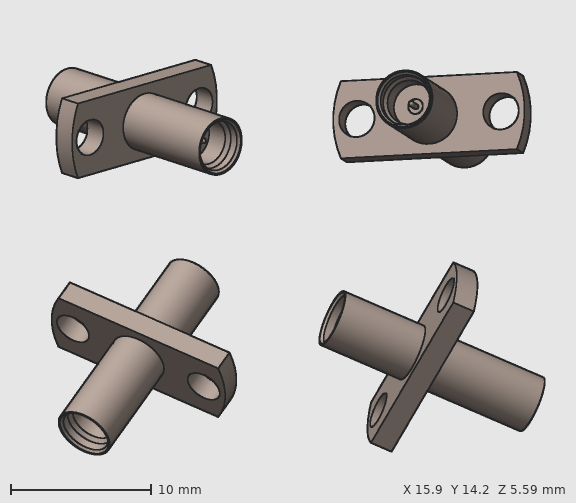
import cadquery as cq

barrel_length = 15.88
barrel_radius = 2.1

flange_start = 6.35
flange_thickness = 1.65
flange_width = 14.18
flange_height = 5.59
mounting_hole_diameter = 2.62
mounting_hole_offset = 5.34

mouth_radius = 1.98
entry_radius = 1.81
bore_radius = 1.59
mouth_depth = 0.2
entry_depth = 0.84
taper_depth = 1.19
socket_depth = 2.86

recess_radius = 0.54
recess_depth = 0.16
pin_radius = 0.19
pin_length = 1.27


def make_flange():
    plane = cq.Workplane("YZ", origin=(flange_start, 0, 0))
    disc = plane.circle(flange_width / 2).extrude(flange_thickness)
    band = plane.rect(flange_width, flange_height).extrude(flange_thickness)
    holes = (
        plane.pushPoints([(-mounting_hole_offset, 0), (mounting_hole_offset, 0)])
        .circle(mounting_hole_diameter / 2)
        .extrude(flange_thickness)
    )
    return disc.intersect(band).cut(holes)


def revolve_about_x(profile):
    return profile.close().revolve(360, (0, 0, 0), (1, 0, 0))


def make_socket():
    """Cavity with a flared mouth, a straight entry, a taper, a bore and a floor recess."""
    floor_end = socket_depth + recess_depth
    return revolve_about_x(
        cq.Workplane("XY")
        .lineTo(0, mouth_radius)
        .lineTo(mouth_depth, entry_radius)
        .lineTo(entry_depth, entry_radius)
        .lineTo(taper_depth, bore_radius)
        .lineTo(socket_depth, bore_radius)
        .lineTo(socket_depth, recess_radius)
        .lineTo(floor_end, recess_radius)
        .lineTo(floor_end, 0)
    )


def make_pin():
    """Round-nosed pin, rooted at the bottom of the recess."""
    tip = socket_depth - pin_length
    root = socket_depth + recess_depth
    return revolve_about_x(
        cq.Workplane("XY")
        .moveTo(tip, 0)
        .radiusArc((tip + pin_radius, pin_radius), pin_radius)
        .lineTo(root, pin_radius)
        .lineTo(root, 0)
    )


barrel = cq.Workplane("YZ").circle(barrel_radius).extrude(barrel_length)
cavity = make_socket().cut(make_pin())
opposite_cavity = cavity.mirror("YZ", (barrel_length / 2, 0, 0))

result = barrel.union(make_flange()).cut(cavity).cut(opposite_cavity)